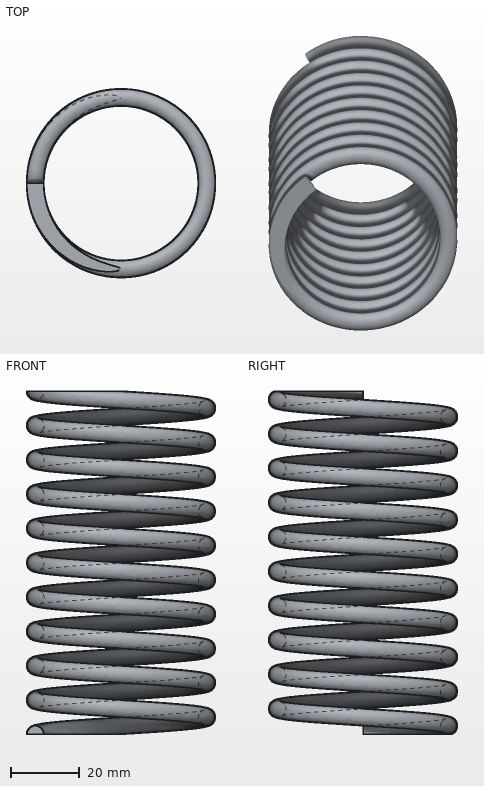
import cadquery as cq

outer_diameter = 55.0
wire_diameter = 5.0
turns = 10
pitch = 10.0

free_length = turns * pitch
coil_radius = (outer_diameter - wire_diameter) / 2
trim_size = 2 * outer_diameter


def coil():
    """Round wire swept along a left-handed helix that starts and ends at -X."""
    helix = cq.Wire.makeHelix(pitch, free_length, coil_radius, lefthand=True)
    section = cq.Workplane("XZ").center(coil_radius, 0).circle(wire_diameter / 2)
    wire = section.sweep(cq.Workplane(obj=helix), isFrenet=True)
    return wire.rotate((0, 0, 0), (0, 0, 1), 180)


def ground_length():
    """Block between the two flat end planes of the spring."""
    return cq.Workplane("XY").box(trim_size, trim_size, free_length, centered=(True, True, False))


result = coil().intersect(ground_length())